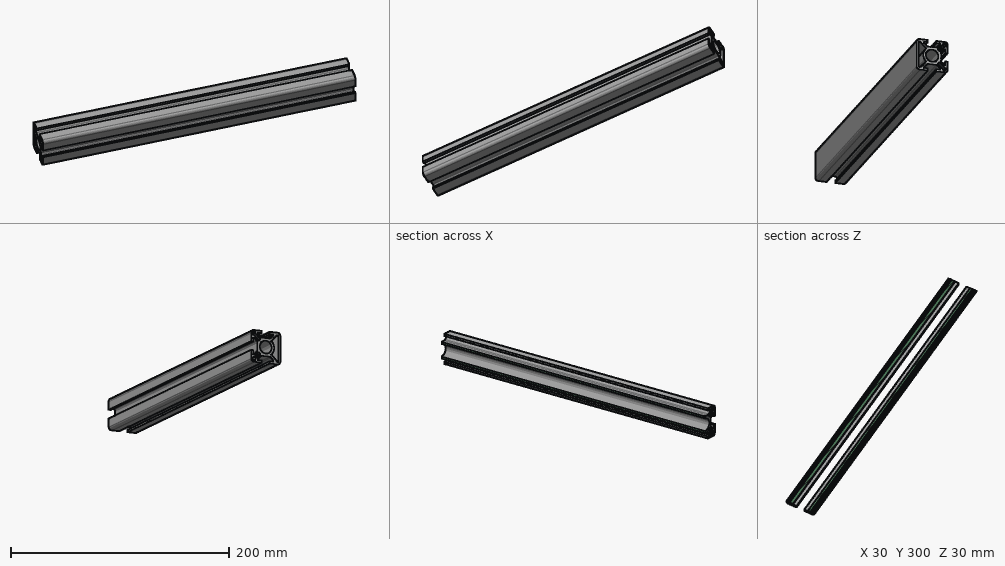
import cadquery as cq

SIDE = 30.0
LENGTH = 300.0
CORNER_RADIUS = 3.0
HALF = SIDE / 2

BORE_RADIUS = 6.0
CORE_RADIUS = 8.55

SLOT_ANGLES = (0, 90, 180)
SLOT_OPENING = 8.2
SLOT_INNER_WIDTH = 15.5
SLOT_FLOOR_WIDTH = 9.1
SLOT_FLOOR_RADIUS = 2.0
SLOT_DEPTH = HALF - CORE_RADIUS
LIP_THICKNESS = 2.2

CORNER_ANGLES = (45, 135)
CORNER_HOLLOW_WIDTH = 2.3
CORNER_FLARE_WIDTH = 3.7
CORNER_HOLLOW_START = 8.9
CORNER_FLARE_PEAK = 17.1
CORNER_HOLLOW_END = 17.9

LEFT_WALL = 2.1
END_SKIN = 2.5
WEB_OFFSET = 0.7


def section():
    """Sketch plane of the cross-section: local x is X, local y is Z."""
    return cq.Workplane("XZ", origin=(0, LENGTH / 2, 0))


def turned(cutter, angle):
    """Turn a cutter clockwise about the profile axis, as seen from -Y."""
    return cutter.rotate((0, 0, 0), (0, 1, 0), angle)


def t_slot():
    """Cutter for the T-slot in the top face."""
    opening = SLOT_OPENING / 2
    inner = SLOT_INNER_WIDTH / 2
    floor = SLOT_FLOOR_WIDTH / 2
    floor_z = HALF - SLOT_DEPTH
    shoulder_z = floor_z + inner - floor
    lip_z = HALF - LIP_THICKNESS
    return (
        section()
        .moveTo(-opening, HALF)
        .lineTo(-opening, lip_z)
        .lineTo(-inner, lip_z)
        .lineTo(-inner, shoulder_z)
        .lineTo(-floor, floor_z)
        .lineTo(floor, floor_z)
        .lineTo(inner, shoulder_z)
        .lineTo(inner, lip_z)
        .lineTo(opening, lip_z)
        .lineTo(opening, HALF)
        .close()
        .extrude(LENGTH)
        .edges("|Y and <Z")
        .fillet(SLOT_FLOOR_RADIUS)
    )


def core():
    """Solid cylinder of the core, where the left hollow stops."""
    return section().circle(CORE_RADIUS).extrude(LENGTH)


def corner_hollow(angle):
    """Cutter for a straight hollow from the core out to a flared, chamfered end in a rounded corner."""
    neck = CORNER_HOLLOW_WIDTH / 2
    flare = CORNER_FLARE_WIDTH / 2
    flare_start = CORNER_FLARE_PEAK - (flare - neck)
    cap = flare - (CORNER_HOLLOW_END - CORNER_FLARE_PEAK)
    hollow = (
        section()
        .moveTo(-neck, CORNER_HOLLOW_START)
        .lineTo(-neck, flare_start)
        .lineTo(-flare, CORNER_FLARE_PEAK)
        .lineTo(-cap, CORNER_HOLLOW_END)
        .lineTo(cap, CORNER_HOLLOW_END)
        .lineTo(flare, CORNER_FLARE_PEAK)
        .lineTo(neck, flare_start)
        .lineTo(neck, CORNER_HOLLOW_START)
        .close()
        .extrude(LENGTH)
    )
    return turned(hollow, angle)


def left_hollow():
    """Cutter for the trapezoidal hollow behind the left wall."""
    wall_x = -(HALF - LEFT_WALL)
    end_z = HALF - END_SKIN
    return (
        section()
        .moveTo(wall_x, end_z)
        .lineTo(WEB_OFFSET - end_z, end_z)
        .lineTo(0, WEB_OFFSET)
        .lineTo(0, -WEB_OFFSET)
        .lineTo(WEB_OFFSET - end_z, -end_z)
        .lineTo(wall_x, -end_z)
        .close()
        .extrude(LENGTH)
        .cut(core())
    )


def profile():
    body = section().rect(SIDE, SIDE).extrude(LENGTH).edges("|Y").fillet(CORNER_RADIUS)
    for angle in SLOT_ANGLES:
        body = body.cut(turned(t_slot(), angle))
    for angle in CORNER_ANGLES:
        body = body.cut(corner_hollow(angle))
    body = body.cut(left_hollow())
    return body.cut(section().circle(BORE_RADIUS).extrude(LENGTH))


result = profile()